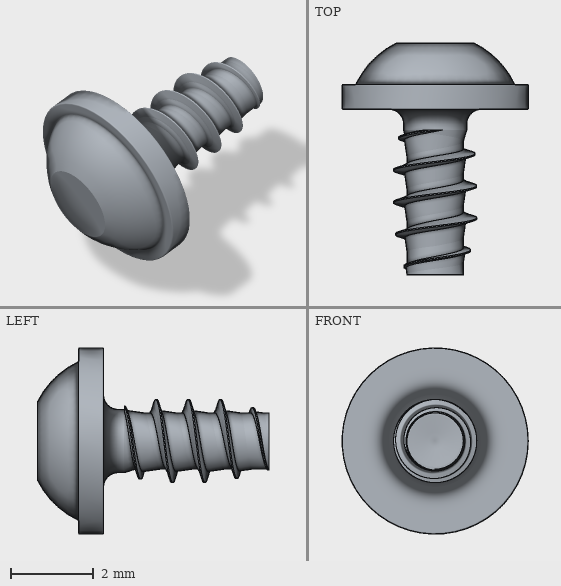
import cadquery as cq
import math


flange_radius = 2.25
flange_thickness = 0.6
flange_edge_fillet = 0.03
dome_base_fillet = 0.03
dome_height = 1.0
dome_base_radius = 1.92
dome_top_radius = 0.94

shank_length = 4.0
neck_radius = 0.765
neck_fillet = 0.35
neck_length = 0.5
core_radius = 0.68
neck_taper_length = 0.28
tip_dimple_radius = 0.63
tip_dimple_depth = 0.07

pitch = 0.778
thread_start_depth = 0.3
crest_radius = 1.005
crest_width = 0.03
lead_in_drop = 0.205
lead_out_drop = 0.30
root_lead_out_drop = 0.05
lead_in_end = 1.25
lead_out_start = 3.25
thread_end = 4.75

tip_flank_foot = 0.09
tip_flank_foot_radius = 0.737
head_flank_break = -0.075
head_flank_break_radius = 0.80
head_flank_foot = -0.145
root_taper_end = 0.48
sunken_radius = core_radius - 0.01
buried_radius = 0.3
points_per_turn = 24


def dome_bulge_point():
    """Point halfway along the height of the spherical dome, as (radius, Y)."""
    centre = (dome_top_radius**2 + dome_height**2 - dome_base_radius**2) / (2 * dome_height)
    sphere_radius = math.hypot(dome_base_radius, centre)
    height = dome_height / 2
    return math.sqrt(sphere_radius**2 - (height - centre) ** 2), flange_thickness + height


def make_head():
    flange = cq.Workplane("XZ").circle(flange_radius).extrude(-flange_thickness)
    dome = (
        cq.Workplane("XY")
        .moveTo(0, flange_thickness + dome_height)
        .lineTo(dome_top_radius, flange_thickness + dome_height)
        .threePointArc(dome_bulge_point(), (dome_base_radius, flange_thickness))
        .lineTo(dome_base_radius, flange_thickness / 2)
        .lineTo(0, flange_thickness / 2)
        .close()
        .revolve(360, (0, 0, 0), (0, 1, 0))
    )
    dome_base = cq.selectors.RadiusNthSelector(1)
    flange_rims = cq.selectors.RadiusNthSelector(-1)
    head = flange.union(dome)
    head = head.edges(dome_base).fillet(dome_base_fillet)
    return head.edges(flange_rims).fillet(flange_edge_fillet)


def make_shank():
    """Filleted neck, short taper and plain core, overlapping into the flange."""
    overlap = flange_thickness / 2
    fillet_radius_at_face = neck_radius + neck_fillet
    fillet_reach = neck_fillet * (1 - math.sqrt(0.5))
    return (
        cq.Workplane("XY")
        .moveTo(0, overlap)
        .lineTo(fillet_radius_at_face, overlap)
        .lineTo(fillet_radius_at_face, 0)
        .threePointArc((neck_radius + fillet_reach, -fillet_reach), (neck_radius, -neck_fillet))
        .lineTo(neck_radius, -neck_length)
        .lineTo(core_radius, -neck_length - neck_taper_length)
        .lineTo(core_radius, -shank_length)
        .lineTo(0, -shank_length)
        .close()
        .revolve(360, (0, 0, 0), (0, 1, 0))
    )


def helix_point(radius, offset, turn):
    angle = 2 * math.pi * turn
    depth = thread_start_depth + pitch * turn + offset
    return cq.Vector(radius * math.cos(angle), -depth, radius * math.sin(angle))


def line_offset(start, end, radius):
    """Offset at which the line through two (radius, offset) points reaches a radius."""
    share = (radius - start[0]) / (end[0] - start[0])
    return start[1] + share * (end[1] - start[1])


def thread_section(ridge_drop, root_drop):
    """Section as (radius, offset) points, with the ridge and the tapered root lowered."""
    flank_break = (head_flank_break_radius, head_flank_break)
    tip_foot = (tip_flank_foot_radius, tip_flank_foot)
    head_end = line_offset(flank_break, (core_radius, head_flank_foot), sunken_radius)
    root_end = line_offset(tip_foot, (core_radius, root_taper_end), sunken_radius)

    flank_slope = (crest_radius - tip_flank_foot_radius) / (tip_flank_foot - crest_width / 2)
    root_slope = (tip_flank_foot_radius - core_radius) / (root_taper_end - tip_flank_foot)
    foot_shift = (ridge_drop - root_drop) / (flank_slope - root_slope)
    foot_radius = tip_flank_foot_radius - root_drop + root_slope * foot_shift

    return [
        (buried_radius, head_end),
        (sunken_radius - ridge_drop, head_end),
        (head_flank_break_radius - ridge_drop, head_flank_break),
        (crest_radius - ridge_drop, -crest_width / 2),
        (crest_radius - ridge_drop, crest_width / 2),
        (foot_radius, tip_flank_foot - foot_shift),
        (sunken_radius - root_drop, root_end),
        (buried_radius, root_end),
    ]


def thread_stretch(first_turn, last_turn, first_drops, last_drops):
    """Solid stretch of thread whose (ridge, root) drops change evenly along it."""
    steps = math.ceil((last_turn - first_turn) * points_per_turn)
    rings = []
    for step in range(steps + 1):
        share = step / steps
        turn = first_turn + (last_turn - first_turn) * share
        drops = [a + (b - a) * share for a, b in zip(first_drops, last_drops)]
        section = thread_section(*drops)
        rings.append([helix_point(radius, offset, turn) for radius, offset in section])
    edges = [cq.Edge.makeSpline(list(points)) for points in zip(*rings)]
    faces = []
    for edge, next_edge in zip(edges, edges[1:] + edges[:1]):
        faces.append(cq.Face.makeRuledSurface(edge, next_edge))
    for ring in (rings[0], rings[-1]):
        faces.append(cq.Face.makeFromWires(cq.Wire.makePolygon(ring, close=True)))
    solid = cq.Solid.makeSolid(cq.Shell.makeShell(faces))
    return cq.Workplane(solid.fix())


def make_thread():
    """Ridge that rises at the neck and fades out at the tip, with the tapered root beside it."""
    full = (0, 0)
    lead_in = thread_stretch(0, lead_in_end, (lead_in_drop, 0), full)
    middle = thread_stretch(lead_in_end, lead_out_start, full, full)
    lead_out = thread_stretch(
        lead_out_start, thread_end, full, (lead_out_drop, root_lead_out_drop)
    )
    threaded_zone = (
        cq.Workplane("XZ", origin=(0, -neck_length, 0))
        .circle(flange_radius)
        .extrude(shank_length - neck_length)
    )
    return lead_in.union(middle).union(lead_out).intersect(threaded_zone)


def make_tip_dimple():
    return cq.Workplane(
        cq.Solid.makeCone(
            tip_dimple_radius,
            0,
            tip_dimple_depth,
            pnt=cq.Vector(0, -shank_length, 0),
            dir=cq.Vector(0, 1, 0),
        )
    )


result = make_head().union(make_shank()).union(make_thread()).cut(make_tip_dimple())